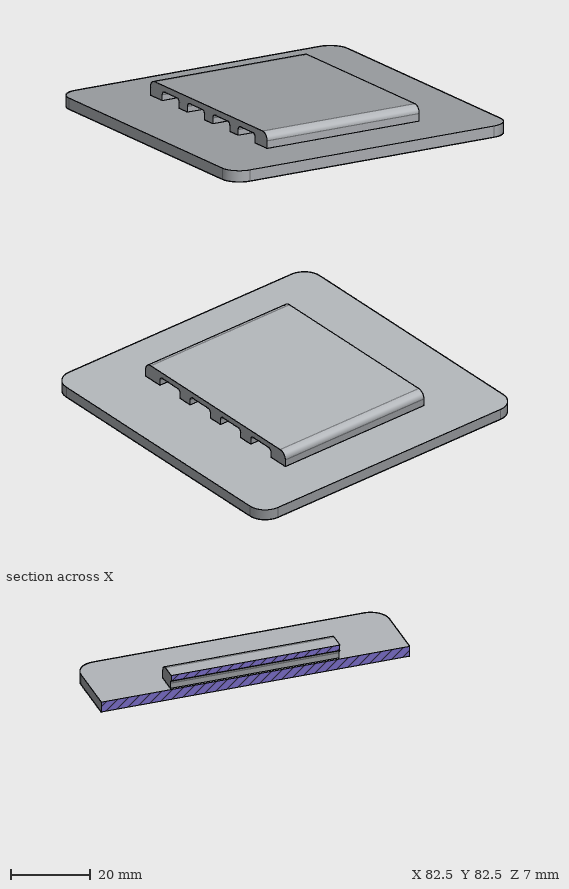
import cadquery as cq

plate_side = 82.5
plate_thickness = 3.0
plate_corner_radius = 5.0

total_height = 7.0
block_length = 55.2
block_width = 45.1
block_height = total_height - plate_thickness
block_edge_radius = 2.1

slot_count = 4
slot_pitch = 12.0
slot_width = 8.0
slot_height = 2.5
slot_corner_radius = 1.0


def make_plate():
    plate = cq.Workplane("XY").box(plate_side, plate_side, plate_thickness, centered=(True, True, False))
    return plate.edges("|Z").fillet(plate_corner_radius)


def make_block():
    block = cq.Workplane("XY").workplane(offset=plate_thickness).box(
        block_length, block_width, block_height, centered=(True, True, False)
    )
    return block.edges("|Y and >Z").fillet(block_edge_radius)


def make_slot(index):
    """Through slot with both upper corners rounded."""
    center_x = (index - (slot_count - 1) / 2) * slot_pitch
    slot = cq.Workplane("XY").box(slot_width, block_width, slot_height, centered=(True, True, False))
    slot = slot.edges("|Y and >Z").fillet(slot_corner_radius)
    return slot.translate((center_x, 0, plate_thickness))


block = make_block()
for slot_index in range(slot_count):
    block = block.cut(make_slot(slot_index))

result = make_plate().union(block)